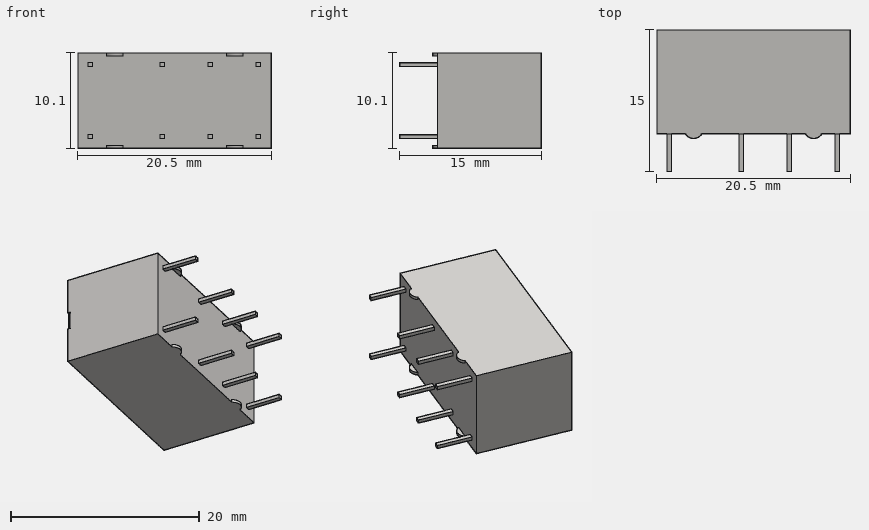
import cadquery as cq

body_length = 20.5
body_depth = 11.0
body_height = 10.1

pin_pitch = 2.55
pin_steps = (0, 3, 5, 7)
first_pin_inset = 1.31
row_spacing = 3 * pin_pitch
pin_width = 0.51
pin_thickness = 0.4
pin_length = 4.0

foot_spacing = 12.7
foot_width = 1.76
foot_height = 0.51
foot_thickness = 0.33

notch_height = 2.0
notch_depth_y = 0.3
notch_depth_x = 0.2

body_left = -body_length / 2
body_top = body_height / 2


def make_body():
    """Rectangular housing with its pin face on Y = 0."""
    return cq.Workplane("XY").box(body_length, body_depth, body_height, centered=(True, False, True))


def make_pins():
    """Straight rectangular pins pointing along -Y."""
    first_pin_x = body_left + first_pin_inset
    centers = [
        (first_pin_x + step * pin_pitch, row_z)
        for step in pin_steps
        for row_z in (-row_spacing / 2, row_spacing / 2)
    ]
    return cq.Workplane("XZ").pushPoints(centers).rect(pin_width, pin_thickness).extrude(pin_length)


def make_foot(center_x, bottom_z):
    """Circular-segment foot standing out of the pin face."""
    half_width = foot_width / 2
    return (
        cq.Workplane("XY", origin=(center_x, 0, bottom_z))
        .moveTo(-half_width, 0)
        .threePointArc((0, -foot_height), (half_width, 0))
        .close()
        .extrude(foot_thickness)
    )


def make_notch():
    """Block removed from the middle of the rear left edge."""
    return (
        cq.Workplane("XY", origin=(body_left, body_depth - notch_depth_y, 0))
        .box(notch_depth_x, notch_depth_y, notch_height, centered=(False, False, True))
    )


result = make_body().cut(make_notch()).union(make_pins())
for foot_x in (-foot_spacing / 2, foot_spacing / 2):
    for foot_z in (-body_top, body_top - foot_thickness):
        result = result.union(make_foot(foot_x, foot_z))